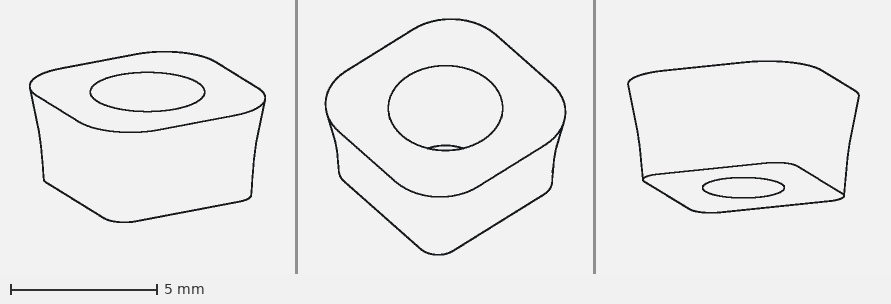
import cadquery as cq
import math

height = 3.46
top_half = 3.5
flank_angle = 11.0
top_straight_half = 1.5
bottom_straight_half = 2.03
knee_height = 1.575

upper_blend_slope = 0.59
lower_blend_slope = -0.83
blend_steps = 8

mouth_radius = 1.96
mouth_end_radius, mouth_depth = 1.88, 1.035
seat_start_radius, seat_start_depth = 1.74, 1.33
bore_radius, seat_end_depth = 1.4, 2.185

flank_slope = math.tan(math.radians(flank_angle))
bottom_half = top_half - height * flank_slope
knee_half = bottom_half + knee_height * flank_slope
knee_radius = knee_half - top_straight_half
lower_center_slope = (top_straight_half - bottom_straight_half) / knee_height
quarter_turns = (0, 90, 180, 270)


def rotated(point, turn):
    """Turn a point about the Z axis by an angle in degrees."""
    c = math.cos(math.radians(turn))
    s = math.sin(math.radians(turn))
    return cq.Vector(point[0] * c - point[1] * s, point[0] * s + point[1] * c, point[2])


def corner_arc(half, straight_half, z, turn):
    """Horizontal rounded corner of a square."""
    middle = straight_half + (half - straight_half) * math.sqrt(0.5)
    points = ((half, straight_half, z), (middle, middle, z), (straight_half, half, z))
    return cq.Edge.makeThreePointArc(*[rotated(p, turn) for p in points])


def blend_edge(plane_slope, center_slope, turn):
    """Curve where a sloping plane through the knee chord cuts a corner cone.

    The arc center moves by center_slope in X and Y for each unit of height.
    """
    radius_slope = flank_slope - center_slope
    points = []
    for step in range(blend_steps + 1):
        angle = math.radians(90 * step / blend_steps)
        toward_diagonal = math.cos(angle - math.pi / 4)
        outward = knee_radius * (toward_diagonal - math.sqrt(0.5))
        outward_slope = math.sqrt(2) * center_slope + radius_slope * toward_diagonal
        rise = plane_slope * outward / (1 - plane_slope * outward_slope)
        center = top_straight_half + center_slope * rise
        radius = knee_radius + radius_slope * rise
        x = center + radius * math.cos(angle)
        y = center + radius * math.sin(angle)
        points.append(rotated((x, y, knee_height + rise), turn))
    return cq.Edge.makeSpline(points)


def flat_flank(turn):
    """Flat side whose lower edges flare out toward the bottom corners."""
    right_side = (
        (bottom_half, bottom_straight_half, 0),
        (knee_half, top_straight_half, knee_height),
        (top_half, top_straight_half, height),
    )
    left_side = [(x, -y, z) for x, y, z in reversed(right_side)]
    points = [rotated(p, turn) for p in (*right_side, *left_side)]
    return cq.Face.makeFromWires(cq.Wire.makePolygon(points, close=True))


def end_face(half, straight_half, z):
    """Horizontal rounded square."""
    edges = []
    for turn in quarter_turns:
        start = rotated((half, -straight_half, z), turn)
        end = rotated((half, straight_half, z), turn)
        edges.append(cq.Edge.makeLine(start, end))
        edges.append(corner_arc(half, straight_half, z, turn))
    return cq.Face.makeFromWires(cq.Wire.assembleEdges(edges))


def corner_faces(turn):
    """Upper cone, knee blend and lower cone of one corner."""
    edges = (
        corner_arc(top_half, top_straight_half, height, turn),
        blend_edge(upper_blend_slope, 0, turn),
        blend_edge(lower_blend_slope, lower_center_slope, turn),
        corner_arc(bottom_half, bottom_straight_half, 0, turn),
    )
    return [cq.Face.makeRuledSurface(a, b) for a, b in zip(edges, edges[1:])]


def insert_body():
    faces = [
        end_face(top_half, top_straight_half, height),
        end_face(bottom_half, bottom_straight_half, 0),
    ]
    for turn in quarter_turns:
        faces.append(flat_flank(turn))
        faces.extend(corner_faces(turn))
    return cq.Workplane(cq.Solid.makeSolid(cq.Shell.makeShell(faces)).fix())


def screw_hole():
    return (
        cq.Workplane("XZ")
        .moveTo(0, height)
        .lineTo(mouth_radius, height)
        .lineTo(mouth_end_radius, height - mouth_depth)
        .tangentArcPoint((seat_start_radius, height - seat_start_depth), relative=False)
        .tangentArcPoint((bore_radius, height - seat_end_depth), relative=False)
        .lineTo(bore_radius, 0)
        .lineTo(0, 0)
        .close()
        .revolve(360, (0, 0, 0), (0, 1, 0))
    )


result = insert_body().cut(screw_hole())